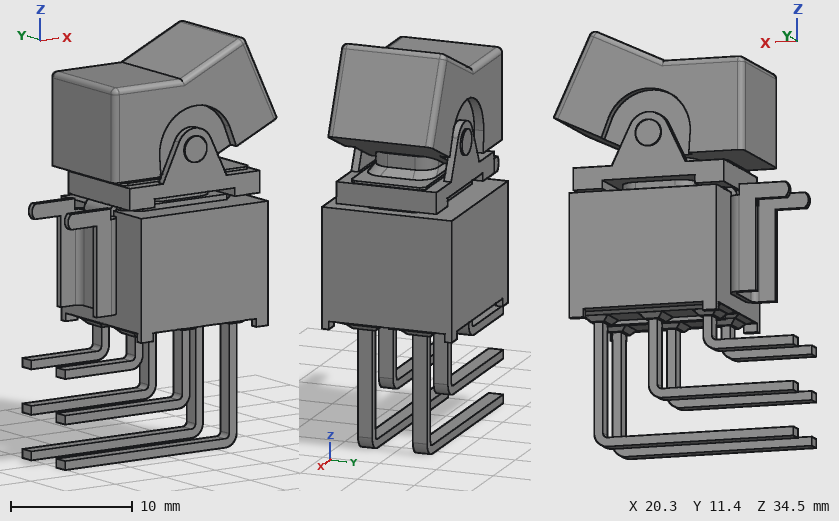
import cadquery as cq
import math


BODY_X = 12.7
BODY_Y = 11.43
BODY_Z = 10.41
FOOT_X = 1.2
FOOT_Y = 0.6
FOOT_HEIGHT = 0.69
RIB_WIDTH = 0.6
RIB_DEPTH = 0.46

TERMINAL_THICK = 0.76
TERMINAL_WIDTH = 1.27
TERMINAL_PITCH_X = 4.7
TERMINAL_PITCH_Y = 4.83
TERMINAL_PITCH_Z = 3.81
TERMINAL_END_X = -12.11
TERMINAL_LOWEST_Z = -10.41
TERMINAL_BEND = 0.4
SEAL_RIDGE_X = 12.6
SEAL_RIDGE_Y = 4.0
SEAL_RIDGE_HEIGHT = 0.24
SEAL_RIDGE_INSET = 0.5
SEAL_TIP_X = 1.2
SEAL_TIP_Y = 2.0
SEAL_TIP_FLARE = 0.45

SHELF_X_MIN = -5.8
SHELF_X_MAX = 5.2
SHELF_Y = 6.55
SHELF_CHAMFER = 1.3
FRAME_MID_X = -0.06
FRAME_X = 13.0
FRAME_Y = 8.8
FRAME_BOTTOM = 10.87
FRAME_TOP = 12.73
FRAME_GAP_X = 8.0
FRAME_GAP_HEIGHT = 0.7
PAD_X = 12.7
PAD_RISE = 0.2
PAD_CHAMFER = 0.4
EAR_THICK = 0.63
EAR_RADIUS = 1.75
EAR_HALF_BASE = 3.18
PIN_DIAMETER = 2.2
PIN_RISE = 0.15

POST_X = 6.4
POST_Y = 5.4
POST_CORNER = 1.5
POST_TOP = 14.6
SKIRT_BOTTOM_X = 8.7
SKIRT_BOTTOM_Y = 5.9
SKIRT_HEIGHT = 0.5

PIVOT_Z = 15.3
ROCK_ANGLE = 25.0
ARM_LENGTH = 8.23
CAP_RISE = 5.99
CAP_DROP = 1.9
CAP_Y = 9.2
CAP_FILLET = 0.5
CAP_POCKET_RADIUS = 3.67
CAP_POCKET_TAPER = 0.25

BRACKET_Y = 5.66
BRACKET_SHEET = 0.5
BRACKET_BEND = 1.0
BRACKET_LEG_X = -8.8
BRACKET_STEP_X = -7.36
BRACKET_BOTTOM = 1.94
BRACKET_WEB_TOP = 9.98
BRACKET_RAMP_Y = 3.5
HOOK_TIP_X = -11.65
HOOK_HEIGHT = 1.28
HOOK_BULGE = 0.3


def box(x_min, x_max, y_size, z_min, z_max):
    """Box centred on Y = 0."""
    blank = cq.Workplane("XY").box(x_max - x_min, y_size, z_max - z_min, centered=(False, True, False))
    return blank.translate((x_min, 0, z_min))


def slab(profile, y_min, y_max):
    """Extrude a closed XZ profile from y_min to y_max."""
    return profile.extrude(y_min - y_max).translate((0, y_min, 0))


def make_housing():
    half_x = BODY_X / 2
    body = box(-half_x, half_x, BODY_Y, 0, BODY_Z)
    body = body.cut(box(-half_x, half_x, BODY_Y - 2 * FOOT_Y, 0, FOOT_HEIGHT))
    recess_half_x = half_x - FOOT_X
    body = body.cut(box(-recess_half_x, recess_half_x, BODY_Y, 0, FOOT_HEIGHT))
    rib = box(-recess_half_x, recess_half_x, RIB_WIDTH, FOOT_HEIGHT - RIB_DEPTH, FOOT_HEIGHT)
    shelf = box(SHELF_X_MIN, SHELF_X_MAX, SHELF_Y, BODY_Z, FRAME_BOTTOM)
    shelf = shelf.edges("|Z").chamfer(SHELF_CHAMFER)
    return body.union(rib).union(shelf)


def make_taper(x_mid, y_mid, z_low, height, low_size, inset):
    """Rectangular frustum that widens upward by the inset on every side."""
    return (
        cq.Workplane("XY", origin=(x_mid, y_mid, z_low))
        .rect(low_size[0], low_size[1])
        .workplane(offset=height)
        .rect(low_size[0] + 2 * inset, low_size[1] + 2 * inset)
        .loft(ruled=True)
    )


def make_seal_ridge(y_mid):
    """Low ridge of sealing compound along one row of terminals."""
    z_low = FOOT_HEIGHT - SEAL_RIDGE_HEIGHT
    low_size = (SEAL_RIDGE_X - 2 * SEAL_RIDGE_INSET, SEAL_RIDGE_Y - 2 * SEAL_RIDGE_INSET)
    return make_taper(0, y_mid, z_low, SEAL_RIDGE_HEIGHT, low_size, SEAL_RIDGE_INSET)


def make_terminal(column, y_mid):
    """One L-shaped terminal with its flared seal; columns run -1, 0, 1 along X."""
    x_mid = column * TERMINAL_PITCH_X
    x_outer = x_mid + TERMINAL_THICK / 2
    x_inner = x_mid - TERMINAL_THICK / 2
    z_outer = TERMINAL_LOWEST_Z + (1 - column) * TERMINAL_PITCH_Z
    z_inner = z_outer + TERMINAL_THICK
    outline = (
        cq.Workplane("XZ")
        .moveTo(TERMINAL_END_X, z_outer)
        .lineTo(x_outer - TERMINAL_BEND - TERMINAL_THICK, z_outer)
        .radiusArc((x_outer, z_inner + TERMINAL_BEND), -(TERMINAL_BEND + TERMINAL_THICK))
        .lineTo(x_outer, FOOT_HEIGHT)
        .lineTo(x_inner, FOOT_HEIGHT)
        .lineTo(x_inner, z_inner + TERMINAL_BEND)
        .radiusArc((x_inner - TERMINAL_BEND, z_inner), TERMINAL_BEND)
        .lineTo(TERMINAL_END_X, z_inner)
        .close()
    )
    lead = slab(outline, y_mid - TERMINAL_WIDTH / 2, y_mid + TERMINAL_WIDTH / 2)
    flare_height = FOOT_HEIGHT - SEAL_RIDGE_HEIGHT
    flare = make_taper(x_mid, y_mid, 0, flare_height, (SEAL_TIP_X, SEAL_TIP_Y), SEAL_TIP_FLARE)
    return lead.union(flare)


def make_ear(y_min, y_max):
    """Triangular ear whose flanks run tangent to its rounded top."""
    height = PIVOT_Z - FRAME_TOP
    tangent = math.acos(EAR_RADIUS / math.hypot(EAR_HALF_BASE, height)) - math.atan2(height, EAR_HALF_BASE)
    touch_x = EAR_RADIUS * math.cos(tangent)
    touch_z = PIVOT_Z + EAR_RADIUS * math.sin(tangent)
    outline = (
        cq.Workplane("XZ")
        .moveTo(-EAR_HALF_BASE, FRAME_TOP)
        .lineTo(EAR_HALF_BASE, FRAME_TOP)
        .lineTo(touch_x, touch_z)
        .threePointArc((0, PIVOT_Z + EAR_RADIUS), (-touch_x, touch_z))
        .close()
    )
    return slab(outline, y_min, y_max)


def make_frame():
    frame = box(-FRAME_X / 2, FRAME_X / 2, FRAME_Y, FRAME_BOTTOM, FRAME_TOP)
    gap_top = FRAME_BOTTOM + FRAME_GAP_HEIGHT
    frame = frame.cut(box(-FRAME_GAP_X / 2, FRAME_GAP_X / 2, FRAME_Y, FRAME_BOTTOM, gap_top))
    pad_top = FRAME_TOP + PAD_RISE
    pad = box(-PAD_X / 2, PAD_X / 2, SHELF_Y, FRAME_TOP, pad_top)
    frame = frame.union(pad.edges("|Z").chamfer(PAD_CHAMFER))
    post = box(-POST_X / 2, POST_X / 2, POST_Y, BODY_Z, POST_TOP).edges("|Z").fillet(POST_CORNER)
    skirt_bottom = cq.Sketch().rect(SKIRT_BOTTOM_X, SKIRT_BOTTOM_Y).vertices().fillet(POST_CORNER)
    skirt_top = cq.Sketch().rect(POST_X, POST_Y).vertices().fillet(POST_CORNER)
    levels = (cq.Location(cq.Vector(0, 0, pad_top)), cq.Location(cq.Vector(0, 0, pad_top + SKIRT_HEIGHT)))
    skirt = cq.Workplane("XY").placeSketch(skirt_bottom.moved(levels[0]), skirt_top.moved(levels[1])).loft()
    frame = frame.union(post).union(skirt)
    ear_outer = FRAME_Y / 2
    ear_inner = ear_outer - EAR_THICK
    frame = frame.union(make_ear(-ear_outer, -ear_inner)).union(make_ear(ear_inner, ear_outer))
    pin_reach = ear_outer + PIN_RISE
    pin = slab(cq.Workplane("XZ").center(0, PIVOT_Z).circle(PIN_DIAMETER / 2), -pin_reach, pin_reach)
    return frame.union(pin)


def on_right_arm(along, up):
    """XZ point at a distance along and above the tilted +X arm, measured from the pivot."""
    tilt = math.radians(ROCK_ANGLE)
    x = along * math.cos(tilt) - up * math.sin(tilt)
    z = along * math.sin(tilt) + up * math.cos(tilt)
    return (x, PIVOT_Z + z)


def make_ear_pocket(y_min, y_max):
    """Round-topped pocket whose straight sides close in slightly toward each underside."""
    tilt = math.radians(ROCK_ANGLE)
    crown = (-CAP_POCKET_RADIUS * math.sin(tilt / 2), PIVOT_Z + CAP_POCKET_RADIUS * math.cos(tilt / 2))
    half_mouth = CAP_POCKET_RADIUS - CAP_POCKET_TAPER
    outline = (
        cq.Workplane("XZ")
        .moveTo(0, PIVOT_Z - CAP_POCKET_RADIUS)
        .lineTo(-half_mouth, PIVOT_Z - CAP_POCKET_RADIUS)
        .lineTo(-CAP_POCKET_RADIUS, PIVOT_Z)
        .threePointArc(crown, on_right_arm(CAP_POCKET_RADIUS, 0))
        .lineTo(*on_right_arm(half_mouth, -CAP_POCKET_RADIUS))
        .close()
    )
    return slab(outline, y_min, y_max)


def make_cap():
    half_tilt = math.tan(math.radians(ROCK_ANGLE / 2))
    underside_bend = (CAP_DROP * half_tilt, PIVOT_Z - CAP_DROP)
    top_bend = (-CAP_RISE * half_tilt, PIVOT_Z + CAP_RISE)
    outline = cq.Workplane("XZ").polyline([
        (-ARM_LENGTH, PIVOT_Z - CAP_DROP),
        underside_bend,
        on_right_arm(ARM_LENGTH, -CAP_DROP),
        on_right_arm(ARM_LENGTH, CAP_RISE),
        top_bend,
        (-ARM_LENGTH, PIVOT_Z + CAP_RISE),
    ]).close()
    cap = slab(outline, -CAP_Y / 2, CAP_Y / 2)
    tilt = math.radians(ROCK_ANGLE)
    tilted_down = cq.Vector(math.sin(tilt), 0, -math.cos(tilt))
    sharp = cap.faces("-Z").edges()
    sharp = sharp.add(cap.faces(cq.DirectionMinMaxSelector(tilted_down)).edges())
    sharp = sharp.add(cap.edges(cq.NearestToPointSelector((top_bend[0], 0, top_bend[1]))))
    rounded = cap.edges().vals()
    rounded = [edge for edge in rounded if not any(edge.isSame(other) for other in sharp.vals())]
    cap = cap.newObject(rounded).fillet(CAP_FILLET)
    pocket_depth = CAP_Y / 2 - (FRAME_Y / 2 - EAR_THICK)
    for y_min in (-CAP_Y / 2, CAP_Y / 2 - pocket_depth):
        cap = cap.cut(make_ear_pocket(y_min, y_min + pocket_depth))
    return cap


def make_bracket():
    wall_x = -BODY_X / 2
    half_y = BRACKET_Y / 2
    leg_inner_y = half_y - BRACKET_SHEET
    hook_top = FRAME_BOTTOM
    channel = box(BRACKET_LEG_X, wall_x, BRACKET_Y, BRACKET_BOTTOM, BRACKET_WEB_TOP)
    channel = channel.edges("|Z and >X").fillet(BRACKET_BEND)
    hollow = box(BRACKET_LEG_X, wall_x - BRACKET_SHEET, 2 * leg_inner_y, BRACKET_BOTTOM, BRACKET_WEB_TOP)
    hollow = hollow.edges("|Z and >X").fillet(BRACKET_BEND - BRACKET_SHEET)
    bracket = channel.cut(hollow)
    hook_bottom = hook_top - HOOK_HEIGHT
    hook_outline = (
        cq.Workplane("XZ")
        .moveTo(BRACKET_STEP_X, hook_top)
        .lineTo(HOOK_TIP_X + HOOK_BULGE, hook_top)
        .threePointArc(
            (HOOK_TIP_X, hook_top - HOOK_HEIGHT / 2),
            (HOOK_TIP_X + HOOK_BULGE, hook_bottom),
        )
        .lineTo(BRACKET_STEP_X, hook_bottom)
        .close()
    )
    hook = slab(hook_outline, -BRACKET_SHEET / 2, BRACKET_SHEET / 2)
    for side in (-1, 1):
        bracket = bracket.union(hook.translate((0, side * (half_y - BRACKET_SHEET / 2), 0)))
    ramp = (
        cq.Workplane("XZ")
        .moveTo(wall_x - BRACKET_SHEET, BRACKET_WEB_TOP)
        .lineTo(wall_x, BRACKET_WEB_TOP)
        .lineTo(wall_x + BRACKET_SHEET, FRAME_BOTTOM)
        .lineTo(wall_x, FRAME_BOTTOM)
        .radiusArc((wall_x - BRACKET_SHEET, BRACKET_WEB_TOP), -BRACKET_BEND)
        .close()
    )
    return bracket.union(slab(ramp, -BRACKET_RAMP_Y / 2, BRACKET_RAMP_Y / 2))


upper_parts = make_frame().union(make_cap()).translate((FRAME_MID_X, 0, 0))
result = make_housing().union(upper_parts).union(make_bracket())
for row_y in (-TERMINAL_PITCH_Y / 2, TERMINAL_PITCH_Y / 2):
    result = result.union(make_seal_ridge(row_y))
    for terminal_column in (-1, 0, 1):
        result = result.union(make_terminal(terminal_column, row_y))